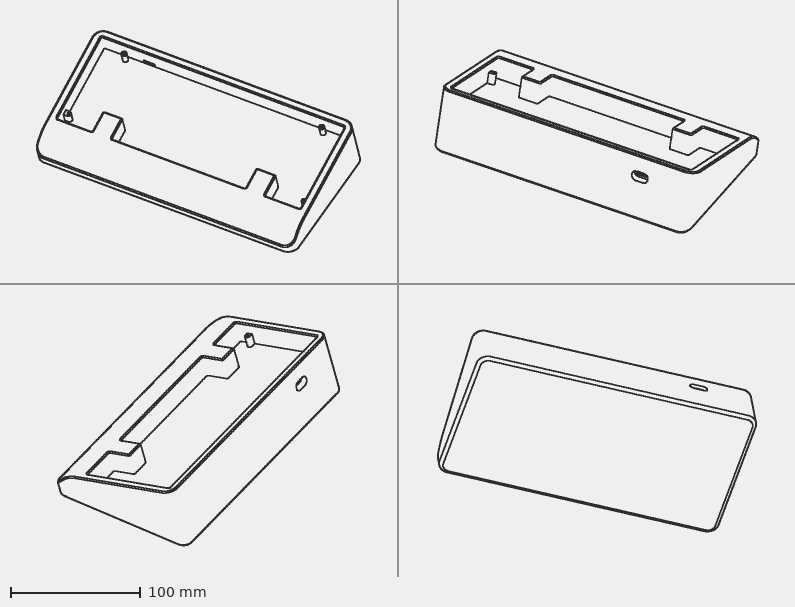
import cadquery as cq
import math

tilt = 16.0
width = 224.5
slope_length = 115.2
front_height = 21.0
corner_radius = 9.0
base_chamfer = 3.0
rim_chamfer = 1.0

bevel_length = 16.6
bevel_angle = 32.0
bevel_radius = 25.0

pocket_width = 211.0
pocket_front = 30.8
pocket_back = 109.0
pocket_depth = 18.0
pocket_chamfer = 1.0
pocket_corner_radius = 1.1

tab_centre_x = 66.5
tab_width = 16.8
tab_length = 19.5

post_diameter = 4.5
post_height = 9.0
pilot_diameter = 1.8
back_post_x = 85.8
back_post_inset = 3.0
side_post_x = 102.5
side_post_offset = 11.2

slot_x = -66.5
slot_z = 35.3
slot_width = 9.9
slot_height = 3.4
recess_border = 2.0
recess_depth = 4.3

overshoot = 11.2

tilt_rad = math.radians(tilt)
floor_level = front_height - pocket_depth
slope_direction = cq.Vector(0, math.cos(tilt_rad), math.sin(tilt_rad))
slope_normal = cq.Vector(0, -math.sin(tilt_rad), math.cos(tilt_rad))
upright = cq.selectors.ParallelDirSelector(slope_normal)
towards_top = cq.selectors.DirectionMinMaxSelector(slope_normal)


def slope_plane(level):
    """Plane parallel to the top face; its local Y runs up the slope from the front wall."""
    origin = slope_normal * level
    return cq.Plane(origin=origin, xDir=(1, 0, 0), normal=slope_normal)


def rounded_block():
    """Tilted slab with rounded corners, a bevelled front and a chamfered outline."""
    lower_level = -slope_length * math.tan(tilt_rad) - overshoot
    side_plane = cq.Plane(origin=(-width / 2, 0, 0), xDir=slope_direction, normal=(1, 0, 0))
    bevel_drop = bevel_length * math.tan(math.radians(bevel_angle))
    block = (
        cq.Workplane(side_plane)
        .moveTo(0, lower_level)
        .lineTo(slope_length, lower_level)
        .lineTo(slope_length, front_height)
        .lineTo(bevel_length, front_height)
        .lineTo(0, front_height - bevel_drop)
        .close()
        .extrude(width)
    )
    block = block.edges(upright).fillet(corner_radius)
    bevel_edge = cq.selectors.NearestToPointSelector(
        slope_plane(front_height).toWorldCoords((0, bevel_length)).toTuple()
    )
    block = block.edges(bevel_edge).fillet(bevel_radius)
    block = block.faces(towards_top).chamfer(rim_chamfer)

    reach = 2 * width
    below_ground = cq.Workplane("XY").box(reach, reach, reach, centered=(True, True, False))
    block = block.cut(below_ground.translate((0, 0, -reach)))
    return block.faces("<Z").chamfer(base_chamfer)


def pocket():
    """Pocket volume, leaving the tabs standing, with rounded upright edges."""
    tab_end = pocket_front + tab_length
    half_width = pocket_width / 2
    outline = [(-half_width, pocket_front)]
    for centre_x in (-tab_centre_x, tab_centre_x):
        left = centre_x - tab_width / 2
        right = centre_x + tab_width / 2
        outline += [(left, pocket_front), (left, tab_end), (right, tab_end), (right, pocket_front)]
    outline += [(half_width, pocket_front), (half_width, pocket_back), (-half_width, pocket_back)]
    volume = cq.Workplane(slope_plane(floor_level)).polyline(outline).close().extrude(pocket_depth)
    return volume.edges(upright).fillet(pocket_corner_radius)


def chamfer_pocket_mouth(body):
    """Chamfer the edge where the pocket and its tabs meet the top face."""
    top_face = body.faces(towards_top).val()
    mouth_edges = top_face.innerWires()[0].Edges()
    return body.newObject(mouth_edges).chamfer(pocket_chamfer)


def posts():
    """Four hollow screw posts square to the pocket floor; webs join the side pair to the walls."""
    back_y = pocket_back - back_post_inset
    side_y = pocket_front + side_post_offset
    centres = [(side * back_post_x, back_y) for side in (-1, 1)]
    centres += [(side * side_post_x, side_y) for side in (-1, 1)]
    floor = cq.Workplane(slope_plane(floor_level))
    columns = floor.pushPoints(centres).circle(post_diameter / 2).extrude(post_height)

    web_length = pocket_width / 2 - side_post_x
    web_centres = [(side * (side_post_x + web_length / 2), side_y) for side in (-1, 1)]
    webs = floor.pushPoints(web_centres).rect(web_length, post_diameter).extrude(post_height)

    pilots = floor.pushPoints(centres).circle(pilot_diameter / 2).extrude(post_height)
    return columns.union(webs).cut(pilots)


def connector_opening():
    """Round-ended slot into the pocket, with a wider recess of the same form outside."""
    outer_y = (slope_length - slot_z * math.sin(tilt_rad)) / math.cos(tilt_rad)
    plane = cq.Plane(origin=(slot_x, outer_y - recess_depth, slot_z), xDir=(1, 0, 0), normal=(0, 1, 0))
    centre = cq.Workplane(plane)
    slot = centre.slot2D(slot_width, slot_height).extrude(-overshoot)
    recess = centre.slot2D(slot_width + 2 * recess_border, slot_height + 2 * recess_border).extrude(overshoot)
    return slot.union(recess)


shell = chamfer_pocket_mouth(rounded_block().cut(pocket()))
result = shell.union(posts()).cut(connector_opening())